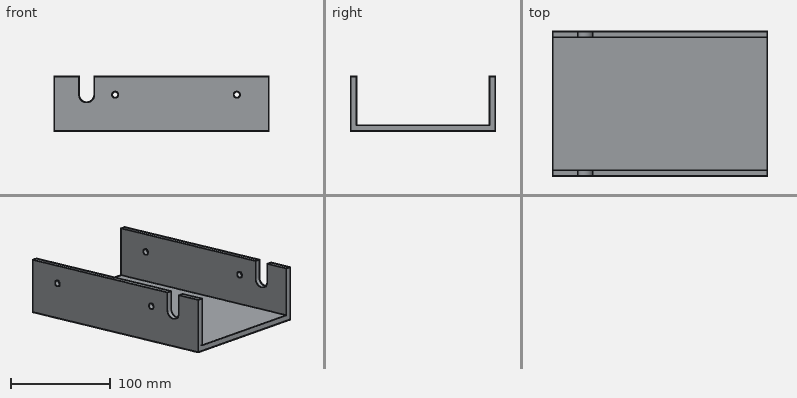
import cadquery as cq

length = 215.0
width = 145.0
height = 55.0
thickness = 6.0

axis_drop = 18.5
axis_z = height - axis_drop

slot_width = 15.0
slot_start_x = 25.0

hole_diameter = 6.0
hole_positions_x = (61.0, 183.0)


def make_channel():
    """U-shaped channel, open along the top and at both ends."""
    inner_width = width - 2 * thickness
    inner_height = height - thickness
    body = cq.Workplane("XY").box(length, width, height, centered=(False, True, False))
    cavity = (
        cq.Workplane("XY", origin=(0, 0, thickness))
        .box(length, inner_width, inner_height, centered=(False, True, False))
    )
    return body.cut(cavity)


def make_slot():
    """Slot cutter with a round bottom, spanning the full width."""
    radius = slot_width / 2
    center_x = slot_start_x + radius
    slot_end_x = slot_start_x + slot_width
    return (
        cq.Workplane("XZ")
        .moveTo(slot_start_x, height)
        .lineTo(slot_start_x, axis_z)
        .threePointArc((center_x, axis_z - radius), (slot_end_x, axis_z))
        .lineTo(slot_end_x, height)
        .close()
        .extrude(width / 2, both=True)
    )


def make_holes():
    """Round hole cutters spanning the full width."""
    centers = [(x, axis_z) for x in hole_positions_x]
    return (
        cq.Workplane("XZ")
        .pushPoints(centers)
        .circle(hole_diameter / 2)
        .extrude(width / 2, both=True)
    )


result = make_channel().cut(make_slot()).cut(make_holes())